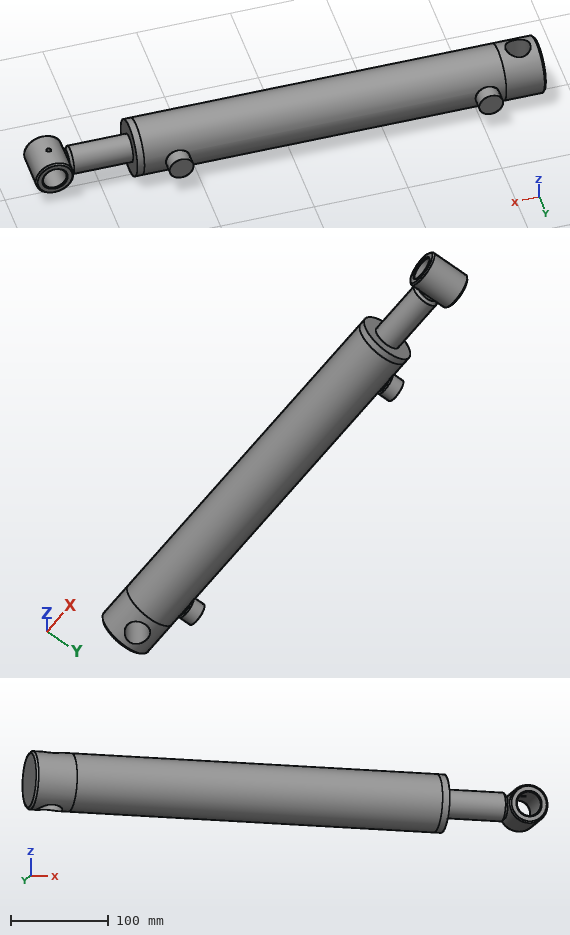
import cadquery as cq

overall_length = 542.0
barrel_diameter = 60.0
barrel_radius = barrel_diameter / 2

pin_hole_diameter = 26.0
cap_length = 43.0
cap_hole_x = 21.5
cap_chamfer = 2.0

barrel_end_x = 428.5
gland_end_x = 436.5

rod_diameter = 30.0
rod_end_x = 502.5
rod_chamfer = 3.0

eye_diameter = 40.0
eye_bore_diameter = 25.0
eye_length = 45.5
eye_chamfer = 1.5
eye_bore_chamfer = 1.0
grease_hole_diameter = 5.0
eye_x = overall_length - eye_diameter / 2

port_diameter = 25.5
port_chamfer = 1.5
port_seat_depth = 0.8
overall_width = 75.0
port_top_y = overall_width - barrel_radius
port_xs = (63.5, 393.5)


def rod_along_x(diameter, start_x, end_x):
    """Solid round bar on the cylinder axis."""
    return cq.Workplane("YZ", origin=(start_x, 0, 0)).circle(diameter / 2).extrude(end_x - start_x)


def bar_along_y(diameter, x, start_y, end_y):
    """Solid round bar parallel to Y, at height Z = 0."""
    return cq.Workplane("XZ", origin=(x, start_y, 0)).circle(diameter / 2).extrude(start_y - end_y)


def make_end_cap():
    """Solid cap with a chamfered outer end and a vertical pin hole right through."""
    cap = rod_along_x(barrel_diameter, 0, cap_length).faces("<X").chamfer(cap_chamfer)
    pin_hole = (
        cq.Workplane("XY")
        .center(cap_hole_x, 0)
        .circle(pin_hole_diameter / 2)
        .extrude(barrel_radius, both=True)
    )
    return cap.cut(pin_hole)


def make_port(x):
    """Round port boss on the +Y side of the barrel, chamfered at its seat."""
    port = bar_along_y(port_diameter, x, barrel_radius - port_seat_depth, port_top_y)
    return port.faces("<Y").chamfer(port_chamfer)


def make_barrel():
    """Barrel with a shallow seat cut for each port."""
    barrel = rod_along_x(barrel_diameter, cap_length, barrel_end_x)
    for x in port_xs:
        barrel = barrel.cut(make_port(x))
    return barrel


def make_gland():
    """Plain disc closing the rod end of the barrel."""
    return rod_along_x(barrel_diameter, barrel_end_x, gland_end_x)


def make_rod():
    """Rod from the gland face, its chamfered end hollowed where it meets the round side of the eye."""
    rod = rod_along_x(rod_diameter, gland_end_x, rod_end_x).faces(">X").chamfer(rod_chamfer)
    eye_outline = bar_along_y(eye_diameter, eye_x, -eye_length / 2, eye_length / 2)
    return rod.cut(eye_outline)


def make_eye():
    """Cross tube with chamfered rims and a grease hole from the top into its bore."""
    eye = bar_along_y(eye_diameter, eye_x, -eye_length / 2, eye_length / 2)
    eye = eye.faces("<Y or >Y").chamfer(eye_chamfer)
    bore = bar_along_y(eye_bore_diameter, eye_x, -eye_length / 2, eye_length / 2)
    eye = eye.cut(bore)
    bore_rims = eye.edges(cq.selectors.RadiusNthSelector(0))
    eye = bore_rims.chamfer(eye_bore_chamfer)
    grease_hole = (
        cq.Workplane("XY").center(eye_x, 0).circle(grease_hole_diameter / 2).extrude(eye_diameter / 2)
    )
    return eye.cut(grease_hole)


end_cap = make_end_cap()
barrel = make_barrel()
gland = make_gland()
rod = make_rod()
eye = make_eye()
ports = [make_port(x) for x in port_xs]

result = cq.Compound.makeCompound(
    [
        end_cap.val(),
        barrel.val(),
        gland.val(),
        rod.val(),
        eye.val(),
        *[port.val() for port in ports],
    ]
)